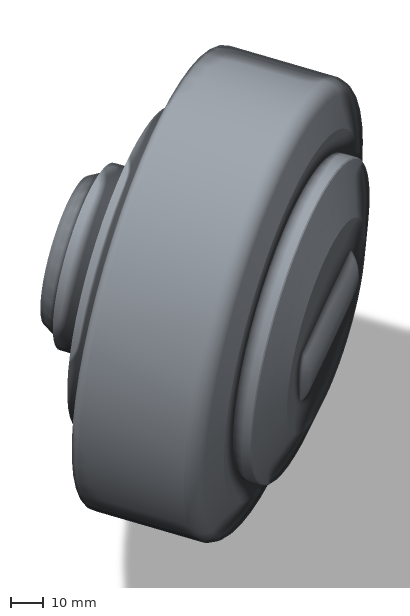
import cadquery as cq
import math

stub_taper_end = 6.3
stub_end = 19.0
flange_end = 28.0
wheel_rim_end = 70.7
wheel_end = 73.5
cap_rim_end = 79.8
cap_end = 84.8
overall_length = 88.0

stub_tip_radius = 24.0
stub_taper_radius = 27.5
stub_radius = 30.0
flange_radius = 51.6
wheel_radius = 74.5
wheel_face_radius = 60.0
cap_radius = 52.5
cap_face_radius = 34.75

cap_bevel = 0.4

diagonal = math.sqrt(0.5)

back_rim_round = 3.0
front_rim_length = 5.0
front_slope_start_radius = 70.7

roller_radius = 25.7
roller_width = 49.8
roller_edge_round = 4.7
roller_crown = 0.2


def make_wheel_body():
    """Revolve the stub, flange, wheel and cap about the X axis."""
    rim_round_start = wheel_rim_end - front_rim_length
    back_arc_x = flange_end + back_rim_round * (1 - diagonal)
    back_arc_radius = wheel_radius - back_rim_round * (1 - diagonal)
    profile = (
        cq.Workplane("XY")
        .lineTo(0, stub_tip_radius)
        .lineTo(stub_taper_end, stub_taper_radius)
        .lineTo(stub_taper_end, stub_radius)
        .lineTo(stub_end, stub_radius)
        .lineTo(stub_end, flange_radius)
        .lineTo(flange_end, flange_radius)
        .lineTo(flange_end, wheel_radius - back_rim_round)
        .threePointArc((back_arc_x, back_arc_radius), (flange_end + back_rim_round, wheel_radius))
        .lineTo(rim_round_start, wheel_radius)
        .tangentArcPoint((wheel_rim_end, front_slope_start_radius), relative=False)
        .lineTo(wheel_end, wheel_face_radius)
        .lineTo(wheel_end, cap_radius - cap_bevel)
        .lineTo(wheel_end + cap_bevel, cap_radius)
        .lineTo(cap_rim_end - cap_bevel, cap_radius)
        .lineTo(cap_rim_end, cap_radius - cap_bevel)
        .lineTo(cap_end, cap_face_radius)
        .lineTo(cap_end, 0)
        .close()
    )
    return profile.revolve(360, (0, 0, 0), (1, 0, 0))


def make_axial_roller():
    """Revolve a slightly barrelled, round-edged roller that reaches the overall length."""
    half_width = roller_width / 2
    crown_end = half_width - roller_edge_round
    crown_end_radius = roller_radius - roller_crown
    edge_mid_y = crown_end + roller_edge_round * diagonal
    edge_mid_radius = crown_end_radius - roller_edge_round * (1 - diagonal)
    face_radius = crown_end_radius - roller_edge_round
    profile = (
        cq.Workplane("XY")
        .moveTo(0, -half_width)
        .lineTo(face_radius, -half_width)
        .threePointArc((edge_mid_radius, -edge_mid_y), (crown_end_radius, -crown_end))
        .threePointArc((roller_radius, 0), (crown_end_radius, crown_end))
        .threePointArc((edge_mid_radius, edge_mid_y), (face_radius, half_width))
        .lineTo(0, half_width)
        .close()
    )
    roller = profile.revolve(360, (0, 0, 0), (0, 1, 0))
    return roller.translate((overall_length - roller_radius, 0, 0))


result = make_wheel_body().union(make_axial_roller())